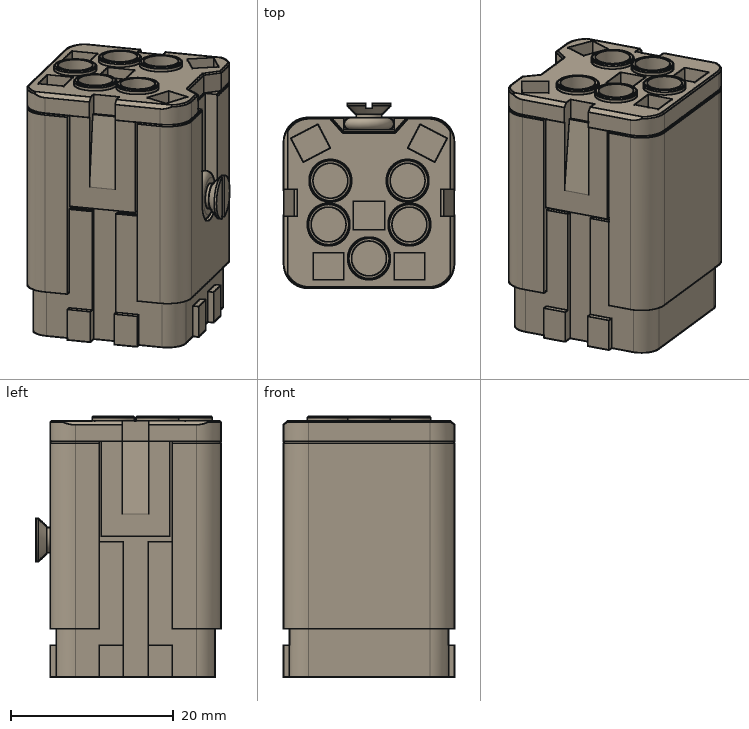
import cadquery as cq

width = 21.0
half = width / 2
corner_radius = 3.07
overhang = 0.75

foot_top = 5.92
cap_bottom = 28.95
cap_top = 31.45
collar_top = 32.0

seam_height = 0.22
seam_inset = 0.1
edge_bevel = 0.2
side_bevel_width = 0.55
side_bevel_height = 0.48

relief_half_width = 4.48
panel_top = 16.65
channel_half_width = 1.55
channel_depth = 1.3
tab_width = 8.45
tab_bottom = 17.28
tab_setback = 0.03
lug_height = 3.95

slot_width = 3.3
slot_cap_depth = 1.65
ramp_depth = 1.35
ramp_bottom = 20.03

contact_centers = [(-4.75, 2.72), (4.75, 2.72), (-4.95, -2.65), (4.95, -2.65), (0, -6.8)]
collar_radius = 2.62
collar_bevel = 0.15
bore_radius = 2.15
bore_depth = 2.55

pocket_length = 3.75
pocket_width = 3.3
pocket_depth = 2.05
center_pocket_length = 3.87
center_pocket_width = 3.5
center_pocket_y = -1.55
front_pocket_x = 4.95
front_pocket_y = -7.78
corner_pocket_x = 7.17
corner_pocket_y = 7.33
corner_pocket_angle = 27.5

notch_depth = 1.75
notch_mouth_half_width = 4.67
notch_floor_half_width = 3.1

screw_z = 16.83
ring_radius = 3.05
ring_thickness = 1.47
ring_clearance = 0.03
recess_radius = ring_radius + ring_clearance
ring_offset = 0.05
terminal_depth = ring_offset + ring_thickness
shank_radius = 1.57
cone_start_radius = 1.65
head_radius = 2.7
cone_start = 0.4
rim_start = 1.45
head_end = 1.73
driver_slot_width = 0.77
driver_slot_depth = 0.6


def box(x0, x1, y0, y1, z0, z1):
    """Box between opposite limits on the three axes."""
    return cq.Workplane("XY").box(x1 - x0, y1 - y0, z1 - z0, centered=False).translate((x0, y0, z0))


def rounded_block(inset, bottom, top):
    """Upright block with rounded corners, set in from the outer square."""
    side = width - 2 * inset
    block = cq.Workplane("XY", origin=(0, 0, bottom)).rect(side, side).extrude(top - bottom)
    return block.edges("|Z").fillet(corner_radius - inset)


def both_sides(shape):
    """The shape together with its mirror image on the opposite X side."""
    return shape.union(shape.mirror("YZ"))


def make_shell():
    foot = rounded_block(overhang, 0, foot_top)
    shell = rounded_block(0, foot_top, cap_bottom).faces(">Z").chamfer(seam_height, seam_inset)
    return foot.union(shell)


def make_notch():
    margin = 0.32
    back = half + margin
    slope = (notch_mouth_half_width - notch_floor_half_width) / notch_depth
    mouth = notch_mouth_half_width + slope * margin
    floor_y = half - notch_depth
    outline = [
        (-mouth, back),
        (-notch_floor_half_width, floor_y),
        (notch_floor_half_width, floor_y),
        (mouth, back),
    ]
    plane = cq.Workplane("XY", origin=(0, 0, cap_bottom))
    return plane.polyline(outline).close().extrude(cap_top - cap_bottom)


def make_cap():
    cap = rounded_block(0, cap_bottom, cap_top).cut(make_notch())
    cap = cap.faces(">Z").chamfer(edge_bevel)
    bevel = (
        cq.Workplane("XZ")
        .moveTo(half, cap_top)
        .lineTo(half - side_bevel_width, cap_top)
        .lineTo(half, cap_top - side_bevel_height)
        .close()
        .extrude(half, both=True)
    )
    return cap.cut(both_sides(bevel))


def make_side_relief():
    """Relief in the shell down to the foot face, with a deeper T-shaped channel."""
    y = relief_half_width
    foot_face = half - overhang
    channel_floor = half - channel_depth
    panel_relief = box(foot_face, half, -y, y, foot_top, cap_bottom)
    crossbar = box(channel_floor, half, -y, y, panel_top, cap_bottom)
    stem = box(channel_floor, half, -channel_half_width, channel_half_width, 0, cap_bottom)
    return both_sides(panel_relief.union(crossbar).union(stem))


def make_latch_tabs():
    tab = box(
        half - channel_depth, half - tab_setback,
        -tab_width / 2, tab_width / 2,
        tab_bottom, cap_bottom,
    )
    return both_sides(tab)


def make_side_slots():
    """Slot through the cap edge that runs out down the tab as a ramp."""
    slot = (
        cq.Workplane("XZ")
        .moveTo(half, cap_top)
        .lineTo(half - slot_cap_depth, cap_top)
        .lineTo(half - slot_cap_depth, cap_bottom)
        .lineTo(half - ramp_depth, cap_bottom)
        .lineTo(half - tab_setback, ramp_bottom)
        .lineTo(half, ramp_bottom)
        .close()
        .extrude(slot_width / 2, both=True)
    )
    return both_sides(slot)


def make_lugs():
    """Pairs of lugs at the bottom of the +X, -X and +Y faces."""
    lug = box(half - overhang, half, channel_half_width, relief_half_width, 0, lug_height)
    pair = lug.union(lug.mirror("XZ"))
    back_pair = pair.rotate((0, 0, 0), (0, 0, 1), 90)
    return both_sides(pair).union(back_pair)


def make_collars():
    height = collar_top - cap_bottom
    collar = cq.Workplane("XY").circle(collar_radius).extrude(height).faces(">Z").chamfer(collar_bevel)
    collars = cq.Workplane("XY")
    for x, y in contact_centers:
        collars = collars.union(collar.translate((x, y, cap_bottom)))
    return collars


def make_bores():
    plane = cq.Workplane("XY", origin=(0, 0, collar_top))
    return plane.pushPoints(contact_centers).circle(bore_radius).extrude(-bore_depth)


def pocket(x, y, length, breadth, angle=0):
    shape = cq.Workplane("XY").rect(length, breadth).extrude(-pocket_depth)
    return shape.rotate((0, 0, 0), (0, 0, 1), angle).translate((x, y, cap_top))


def make_pockets():
    pockets = pocket(0, center_pocket_y, center_pocket_length, center_pocket_width)
    front = pocket(-front_pocket_x, front_pocket_y, pocket_length, pocket_width)
    corner = pocket(-corner_pocket_x, corner_pocket_y, pocket_length, pocket_width, corner_pocket_angle)
    return pockets.union(both_sides(front)).union(both_sides(corner))


def make_terminal_recess():
    """Channel from under the cap notch down to a round end about the screw."""
    recess_floor = half - terminal_depth
    channel = box(-recess_radius, recess_radius, recess_floor, half, screw_z, cap_bottom)
    floor_plane = cq.Workplane("XZ", origin=(0, recess_floor, screw_z))
    round_end = floor_plane.circle(recess_radius).extrude(-terminal_depth)
    return channel.union(round_end)


def make_terminal_screw():
    """Round-rimmed ring, shank and slotted countersunk head turned about Y."""
    ring_back = half - terminal_depth
    ring_front = half - ring_offset
    rim_radius = ring_thickness / 2
    flat_radius = ring_radius - rim_radius
    profile = (
        cq.Workplane("XY")
        .moveTo(0, ring_back)
        .lineTo(flat_radius, ring_back)
        .threePointArc((ring_radius, ring_back + rim_radius), (flat_radius, ring_front))
        .lineTo(shank_radius, ring_front)
        .lineTo(shank_radius, half + cone_start)
        .lineTo(cone_start_radius, half + cone_start)
        .lineTo(head_radius, half + rim_start)
        .lineTo(head_radius, half + head_end)
        .lineTo(0, half + head_end)
        .close()
    )
    screw = profile.revolve(360, (0, 0, 0), (0, 1, 0))
    slot_floor = half + head_end - driver_slot_depth
    driver_slot = box(
        -driver_slot_width / 2, driver_slot_width / 2,
        slot_floor, half + head_end,
        -head_radius, head_radius,
    )
    return screw.cut(driver_slot).translate((0, 0, screw_z))


housing = make_shell().cut(make_side_relief()).union(make_latch_tabs())
housing = housing.union(make_cap()).union(make_lugs()).cut(make_side_slots())
housing = housing.union(make_collars()).cut(make_bores()).cut(make_pockets())
result = housing.cut(make_terminal_recess()).union(make_terminal_screw())